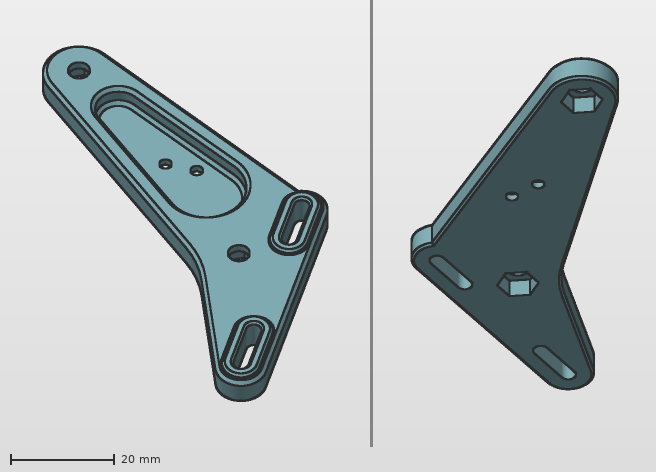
import cadquery as cq
import math


chamfer_angle = 45.0

plate_thickness = 5.6
plate_top_chamfer = 0.8
plate_bottom_chamfer = 0.5
foot_end_radius = 5.0
foot_length = 43.0
arm_end_radius = 7.0
arm_tip = (-51.35, 65.75)
upper_edge_angle = 27.9
arm_lower_edge_angle = 41.85
foot_edge_angle = 67.55
elbow_radius = 20.0

pad_inset = 4.5
pad_top = 6.4
pad_radius = 3.7
pad_chamfer = 0.55
pad_flare_width = 0.3
pad_flare_height = 0.2
slot_width = 3.0
slot_travel = 9.0
slot_chamfer = 0.5

mount_hole_diameter = 4.2
mount_holes = [arm_tip, (-8.4, 28.0)]
nut_sides = 6
nut_width = 7.0
nut_seat = 1.75
nut_turn = 60.0
small_hole_diameter = 2.4
small_hole_y = 50.2
small_hole_xs = [-29.5, -23.2]

pocket_floor = 1.6
pocket_chamfer = 0.8
pocket_tip = (-41.45, 58.8)
pocket_tip_radius = 5.3
pocket_base = (-19.4, 43.5)
pocket_base_radius = 8.6


def polar(centre, radius, angle):
    """Point at a distance and an angle in degrees from a centre."""
    turn = math.radians(angle)
    return (centre[0] + radius * math.cos(turn), centre[1] + radius * math.sin(turn))


def crossing(point_a, angle_a, point_b, angle_b):
    """Point where two lines cross, each given by a point and a direction in degrees."""
    ax, ay = math.cos(math.radians(angle_a)), math.sin(math.radians(angle_a))
    bx, by = math.cos(math.radians(angle_b)), math.sin(math.radians(angle_b))
    dx, dy = point_b[0] - point_a[0], point_b[1] - point_a[1]
    along_a = (dx * by - dy * bx) / (ax * by - ay * bx)
    return (point_a[0] + along_a * ax, point_a[1] + along_a * ay)


def make_plate():
    """Chamfered plate: a straight foot with rounded ends and an arm that tapers to a round tip."""
    foot_low = (0.0, 0.0)
    foot_high = (0.0, foot_length)

    upper_normal = 90 - upper_edge_angle
    arm_lower_normal = 270 - arm_lower_edge_angle
    foot_normal = 270 - foot_edge_angle

    arm_upper_touch = polar(arm_tip, arm_end_radius, upper_normal)
    arm_lower_touch = polar(arm_tip, arm_end_radius, arm_lower_normal)
    arm_round_middle = polar(arm_tip, arm_end_radius, (upper_normal + arm_lower_normal) / 2)
    foot_touch = polar(foot_low, foot_end_radius, foot_normal)
    foot_round_middle = polar(foot_low, foot_end_radius, (foot_normal + 360) / 2)

    normal = math.radians(upper_normal)
    offset_x, offset_y = arm_upper_touch[0] - foot_high[0], arm_upper_touch[1] - foot_high[1]
    edge_distance = offset_x * math.cos(normal) + offset_y * math.sin(normal)
    corner_angle = upper_normal + math.degrees(math.acos(edge_distance / foot_end_radius))
    corner = polar(foot_high, foot_end_radius, corner_angle)
    corner_round_middle = polar(foot_high, foot_end_radius, corner_angle / 2)

    elbow = crossing(arm_lower_touch, -arm_lower_edge_angle, foot_touch, -foot_edge_angle)
    half_bend = math.radians((foot_edge_angle - arm_lower_edge_angle) / 2)
    trim = elbow_radius * math.tan(half_bend)
    elbow_start = polar(elbow, trim, 180 - arm_lower_edge_angle)
    elbow_end = polar(elbow, trim, -foot_edge_angle)
    bisector = 270 - (arm_lower_edge_angle + foot_edge_angle) / 2
    elbow_middle = polar(elbow, elbow_radius / math.cos(half_bend) - elbow_radius, bisector)

    plate = (
        cq.Workplane("XY")
        .moveTo(foot_end_radius, 0)
        .lineTo(foot_end_radius, foot_length)
        .threePointArc(corner_round_middle, corner)
        .lineTo(*arm_upper_touch)
        .threePointArc(arm_round_middle, arm_lower_touch)
        .lineTo(*elbow_start)
        .threePointArc(elbow_middle, elbow_end)
        .lineTo(*foot_touch)
        .threePointArc(foot_round_middle, (foot_end_radius, 0))
        .close()
        .extrude(plate_thickness)
    )
    plate = plate.faces(">Z").chamfer(plate_top_chamfer)
    return plate.faces("<Z").chamfer(plate_bottom_chamfer)


def make_upright_slot(centre_y, width, bottom, top, taper=0):
    """Slot-shaped prism along Y on the foot's centre line; width is taken at the bottom."""
    return (
        cq.Workplane("XY", origin=(0, centre_y, bottom))
        .slot2D(slot_travel + width, width, 90)
        .extrude(top - bottom, taper=taper)
    )


def add_slot_pad(body, centre_y):
    """Raised pad with a flared foot, and a chamfered slot through pad and plate."""
    pad = make_upright_slot(centre_y, 2 * pad_radius, plate_thickness / 2, pad_top)
    pad = pad.faces(">Z").chamfer(pad_chamfer)
    flare_angle = math.degrees(math.atan2(pad_flare_width, pad_flare_height))
    flare = make_upright_slot(
        centre_y,
        2 * (pad_radius + pad_flare_width),
        plate_thickness,
        plate_thickness + pad_flare_height,
        flare_angle,
    )
    slot = make_upright_slot(centre_y, slot_width, 0, pad_top)
    rim = make_upright_slot(centre_y, slot_width, pad_top - slot_chamfer, pad_top, -chamfer_angle)
    return body.union(pad).union(flare).cut(slot).cut(rim)


def make_pocket():
    """Belt outline around two circles, with a sloped rim and a sloped foot to its wall."""
    dx, dy = pocket_base[0] - pocket_tip[0], pocket_base[1] - pocket_tip[1]
    axis_angle = math.degrees(math.atan2(dy, dx))
    spread = math.degrees(math.acos((pocket_tip_radius - pocket_base_radius) / math.hypot(dx, dy)))

    def belt(inset, bottom):
        tip_radius = pocket_tip_radius - inset
        base_radius = pocket_base_radius - inset
        return (
            cq.Workplane("XY", origin=(0, 0, bottom))
            .moveTo(*polar(pocket_tip, tip_radius, axis_angle - spread))
            .lineTo(*polar(pocket_base, base_radius, axis_angle - spread))
            .threePointArc(
                polar(pocket_base, base_radius, axis_angle),
                polar(pocket_base, base_radius, axis_angle + spread),
            )
            .lineTo(*polar(pocket_tip, tip_radius, axis_angle + spread))
            .threePointArc(
                polar(pocket_tip, tip_radius, axis_angle + 180),
                polar(pocket_tip, tip_radius, axis_angle - spread),
            )
            .close()
        )

    wall = belt(pocket_chamfer, pocket_floor).extrude(plate_thickness - pocket_floor)
    wall = wall.faces("<Z").chamfer(pocket_chamfer)
    rim = belt(0, plate_thickness).extrude(-pocket_chamfer, taper=chamfer_angle)
    return wall.union(rim)


def cut_nut_pockets(body):
    """Hexagonal recesses in the underside, around the mounting holes."""
    flat_to_corner = 180 / nut_sides
    nut_corner_diameter = nut_width / math.cos(math.radians(flat_to_corner))
    nut_depth = plate_thickness - nut_seat
    for x, y in mount_holes:
        nut = cq.Workplane("XY").polygon(nut_sides, nut_corner_diameter).extrude(nut_depth)
        nut = nut.rotate((0, 0, 0), (0, 0, 1), nut_turn - flat_to_corner)
        body = body.cut(nut.translate((x, y, 0)))
    return body


def drill(body, points, diameter):
    """Round holes right through the plate."""
    holes = cq.Workplane("XY").pushPoints(points).circle(diameter / 2).extrude(plate_thickness)
    return body.cut(holes)


result = make_plate()
for pad_y in (pad_inset, foot_length - pad_inset):
    result = add_slot_pad(result, pad_y)
result = result.cut(make_pocket())
result = cut_nut_pockets(result)
result = drill(result, mount_holes, mount_hole_diameter)
result = drill(result, [(x, small_hole_y) for x in small_hole_xs], small_hole_diameter)